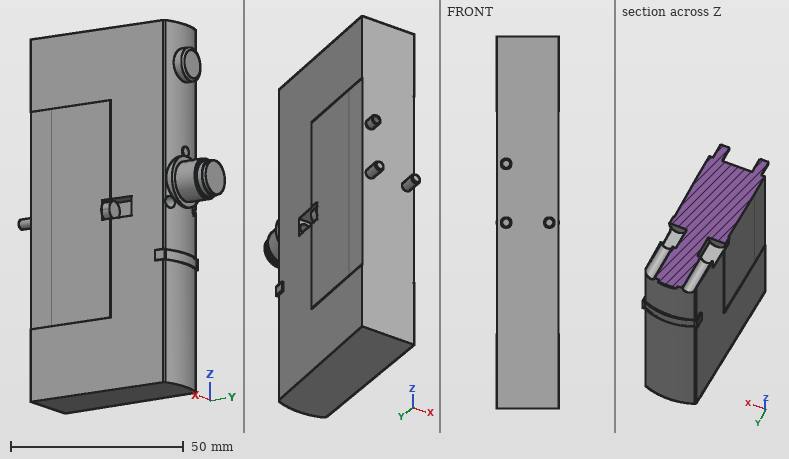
import cadquery as cq
import math

height = 107.8
front_width = 18.0
draft_angle = 1.0
back_apex = 47.8
back_arc_end = 46.2
back_arc_half = 7.9
bevel_start = 45.6

panel_bottom = 21.6
panel_top = 86.2
panel_depth = 27.7
panel_crest = 7.2
panel_front_sink = 0.1
panel_crest_rise = 0.05
panel_back_rise = 0.16
panel_bevel = 0.3

screw_x = 6.3
screw_z = height / 2
pin_diameter = 3.0
pin_chamfer = 0.3
screw_tip = -5.3
head_diameter = 5.5
pocket_front = 24.6
head_back = 27.4
pocket_back = 34.7
pocket_height = 5.8
driver_hole_diameter = 3.5

locator_bore = 2.4
locator_z = 70.9
locator_tip = -3.2

connector_z = 60.9
flange_diameter = 15.2
flange_back = 48.3
barrel_diameter = 12.0
barrel_back = 55.4
barrel_chamfer = 0.3
collar_diameter = 10.5
collar_back = 57.1
tip_diameter = 10.0
tip_back = 58.3

button_diameter = 10.0
button_z = 95.6
button_back = 50.3
button_bevel_length = 0.5
button_face_diameter = 8.3
lamp_diameter = 3.0
lamp_z = 69.9
lamp_back = 48.1
strap_bottom = 36.5
strap_top = 39.6
strap_half = 8.7
strap_front = 43.1
strap_shoulder = 46.5
strap_apex = 48.2

fitting_root = 43.1


def side_half_width(y):
    """Half width of the drafted body at depth y."""
    return front_width / 2 - y * math.tan(math.radians(draft_angle))


def upright(outline, bottom, top):
    """Extrude an XY outline between two heights."""
    return outline.close().extrude(top - bottom).translate((0, 0, bottom))


def rod(diameter, x, z, front, back):
    """Cylinder along Y between two depths."""
    circle = cq.Workplane("XZ", origin=(x, back, z)).circle(diameter / 2)
    return circle.extrude(back - front)


def box(x_min, x_max, y_min, y_max, z_min, z_max):
    block = cq.Workplane("XY").box(x_max - x_min, y_max - y_min, z_max - z_min, centered=False)
    return block.translate((x_min, y_min, z_min))


def make_body():
    front_half = side_half_width(0)
    bevel_half = side_half_width(bevel_start)
    outline = (
        cq.Workplane("XY")
        .moveTo(-front_half, 0)
        .lineTo(front_half, 0)
        .lineTo(bevel_half, bevel_start)
        .lineTo(back_arc_half, back_arc_end)
        .threePointArc((0, back_apex), (-back_arc_half, back_arc_end))
        .lineTo(-bevel_half, bevel_start)
    )
    return upright(outline, 0, height)


def make_panels():
    """Both side panels as one slab across the body: slightly sunk at the front, proud further back."""
    bevel_front = panel_depth - panel_bevel
    front_half = side_half_width(0) - panel_front_sink
    crest_half = side_half_width(panel_crest) + panel_crest_rise
    back_half = side_half_width(bevel_front) + panel_back_rise
    end_half = side_half_width(panel_depth)
    outline = (
        cq.Workplane("XY")
        .moveTo(-front_half, 0)
        .lineTo(front_half, 0)
        .lineTo(crest_half, panel_crest)
        .lineTo(back_half, bevel_front)
        .lineTo(end_half, panel_depth)
        .lineTo(-end_half, panel_depth)
        .lineTo(-back_half, bevel_front)
        .lineTo(-crest_half, panel_crest)
    )
    return upright(outline, panel_bottom, panel_top)


def add_panels(body):
    panel_zone = box(-front_width, front_width, 0, panel_depth, panel_bottom, panel_top)
    return body.cut(panel_zone).union(make_panels())


def add_screw(body, side):
    """Head pocket open to one side, driver hole through to the back, and the screw itself."""
    x = side * screw_x
    pocket_inner = side * (screw_x - head_diameter / 2)
    pocket_outer = side * front_width
    pocket = box(
        min(pocket_inner, pocket_outer), max(pocket_inner, pocket_outer),
        pocket_front, pocket_back,
        screw_z - pocket_height / 2, screw_z + pocket_height / 2,
    )
    driver_hole = rod(driver_hole_diameter, x, screw_z, pocket_back, back_apex)
    shank = rod(pin_diameter, x, screw_z, screw_tip, pocket_front).faces("<Y").chamfer(pin_chamfer)
    head = rod(head_diameter, x, screw_z, pocket_front, head_back)
    return body.cut(pocket).cut(driver_hole).union(shank).union(head)


def make_connector():
    flange = rod(flange_diameter, 0, connector_z, fitting_root, flange_back)
    barrel = rod(barrel_diameter, 0, connector_z, fitting_root, barrel_back).faces(">Y").chamfer(barrel_chamfer)
    collar = rod(collar_diameter, 0, connector_z, fitting_root, collar_back)
    tip = rod(tip_diameter, 0, connector_z, fitting_root, tip_back)
    return flange.union(barrel).union(collar).union(tip)


def make_button():
    """Round button with a bevelled rim."""
    rim = rod(button_diameter, 0, button_z, fitting_root, button_back - button_bevel_length)
    cap = (
        rim.faces(">Y").workplane(centerOption="CenterOfBoundBox")
        .circle(button_diameter / 2)
        .workplane(offset=button_bevel_length)
        .circle(button_face_diameter / 2)
        .loft(combine=False)
    )
    return rim.union(cap)


def make_strap():
    """Thin band wrapped over the rounded back."""
    outline = (
        cq.Workplane("XY")
        .moveTo(-strap_half, strap_front)
        .lineTo(strap_half, strap_front)
        .lineTo(strap_half, strap_shoulder)
        .lineTo(back_arc_half, strap_shoulder)
        .threePointArc((0, strap_apex), (-back_arc_half, strap_shoulder))
        .lineTo(-strap_half, strap_shoulder)
    )
    return upright(outline, strap_bottom, strap_top)


def make_locator():
    """Pin on the front face, bored down to the level of that face."""
    pin = rod(pin_diameter, -screw_x, locator_z, locator_tip, panel_crest)
    return pin.cut(rod(locator_bore, -screw_x, locator_z, locator_tip, 0))


result = add_panels(make_body())
for side in (-1, 1):
    result = add_screw(result, side)

lamp = rod(lamp_diameter, 0, lamp_z, fitting_root, lamp_back)
for fitting in (make_locator(), make_connector(), make_button(), lamp, make_strap()):
    result = result.union(fitting)